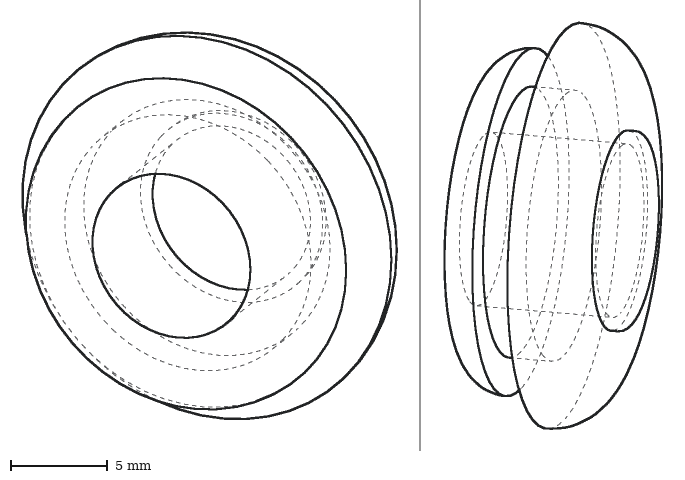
import cadquery as cq
import math

large_flange_radius = 10.5
large_flange_thickness = 3.0
small_flange_radius = 9.0
small_flange_thickness = 2.0
neck_length = 2.3
bore_radius = 4.5
membrane_thickness = 0.7
cap_edge_radius = 0.35

neck_radius = small_flange_radius - small_flange_thickness
large_face_radius = large_flange_radius - large_flange_thickness
cap_radius = bore_radius + membrane_thickness

neck_start = small_flange_thickness
neck_end = neck_start + neck_length
cap_base = neck_end + large_flange_thickness
cap_top = cap_base + membrane_thickness
bore_depth = cap_base


def point_on_round(center_radius, center_y, round_radius, angle):
    """Point on a round in the profile plane; angle in degrees from the radial direction."""
    turn = math.radians(angle)
    return (
        center_radius + round_radius * math.cos(turn),
        center_y + round_radius * math.sin(turn),
    )


small_round_middle = point_on_round(neck_radius, neck_start, small_flange_thickness, -45)
large_round_middle = point_on_round(large_face_radius, neck_end, large_flange_thickness, 45)
cap_round_middle = point_on_round(
    cap_radius - cap_edge_radius, cap_top - cap_edge_radius, cap_edge_radius, 45
)

profile = (
    cq.Workplane("XY")
    .moveTo(bore_radius, 0)
    .lineTo(neck_radius, 0)
    .threePointArc(small_round_middle, (small_flange_radius, neck_start))
    .lineTo(neck_radius, neck_start)
    .lineTo(neck_radius, neck_end)
    .lineTo(large_flange_radius, neck_end)
    .threePointArc(large_round_middle, (large_face_radius, cap_base))
    .lineTo(cap_radius, cap_base)
    .lineTo(cap_radius, cap_top - cap_edge_radius)
    .threePointArc(cap_round_middle, (cap_radius - cap_edge_radius, cap_top))
    .lineTo(0, cap_top)
    .lineTo(0, bore_depth)
    .lineTo(bore_radius, bore_depth)
    .close()
)

result = profile.revolve(360, (0, 0, 0), (0, 1, 0))